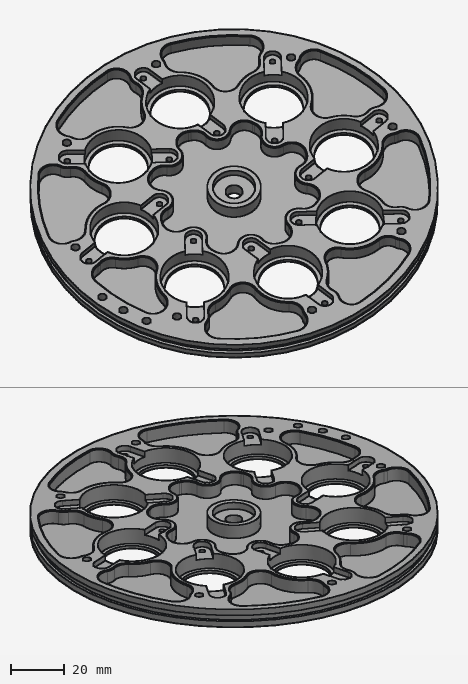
import cadquery as cq
import math

DISC_DIAMETER = 152.4
THICKNESS = 7.62
RIM_GROOVE_WIDTH = 2.54
RIM_GROOVE_DEPTH = 1.27

BORE_COUNT = 8
BORE_CIRCLE_RADIUS = 45.72
SEAT_DIAMETER = 25.55
SEAT_DEPTH = 6.35
BORE_DIAMETER = 22.225
SLOT_ANGLE = 20.0
SLOT_REACH = 19.05
SLOT_WIDTH = 6.5
SLOT_DEPTH = 2.286
SLOT_HOLE_DIAMETER = 2.2

RIM_HOLE_CIRCLE_RADIUS = 66.04
RIM_HOLE_DIAMETER = 3.175
INDEX_HOLE_CIRCLE_RADIUS = 72.39
INDEX_HOLE_ANGLES = (246.0, 254.0, 262.0)

POCKET_DEPTH = 5.588
POCKET_WALL = 1.905
POCKET_CORNER_RADIUS = 5.207
POCKET_CHAMFER = 0.381
POCKET_CHAMFER_ANGLE = 45.0
POCKET_OUTER_RADIUS = 73.025
SHORT_POCKET_OUTER_RADIUS = 68.58
SHORT_POCKET_INDEX = 5
NARROW_POCKET_INDEX = 7
NARROW_POCKET_INSET = 0.508

HUB_DIAMETER = 20.0
HUB_RECESS_DIAMETER = 15.875
HUB_RECESS_DEPTH = 2.794
HUB_BORE_DIAMETER = 6.35

PITCH_ANGLE = 360.0 / BORE_COUNT


def polar(radius, angle):
    """Point at a radius and an angle in degrees."""
    return (radius * math.cos(math.radians(angle)), radius * math.sin(math.radians(angle)))


def bore_center(index):
    return polar(BORE_CIRCLE_RADIUS, index * PITCH_ANGLE)


def slot_end(index, outward):
    """Centre of the round end of a bore's outer or inner slot."""
    x, y = bore_center(index)
    dx, dy = polar(SLOT_REACH if outward else -SLOT_REACH, index * PITCH_ANGLE + SLOT_ANGLE)
    return (x + dx, y + dy)


def rim_hole_center(index):
    return polar(RIM_HOLE_CIRCLE_RADIUS, index * PITCH_ANGLE)


def cylinders(points, diameter, depth):
    """Cylinders reaching down from the top face."""
    return (
        cq.Workplane("XY", origin=(0, 0, THICKNESS - depth))
        .pushPoints(points)
        .circle(diameter / 2)
        .extrude(depth)
    )


def wall_circle(center, feature_diameter):
    """Boundary circle one wall thickness outside a round feature."""
    return (*center, feature_diameter / 2 + POCKET_WALL)


def inset_circles(circles, inset):
    """Boundary circles moved into the pocket."""
    return [(x, y, radius + inset) for x, y, radius in circles]


def corner_center(first, second, corner_radius):
    """Centre of the corner arc tangent to two boundary circles."""
    x1, y1, radius1 = first
    x2, y2, radius2 = second
    reach1 = radius1 + corner_radius
    reach2 = radius2 + corner_radius
    distance = math.hypot(x2 - x1, y2 - y1)
    along = (reach1**2 - reach2**2 + distance**2) / (2 * distance)
    across = math.copysign(math.sqrt(reach1**2 - along**2), radius1 * radius2)
    ux = (x2 - x1) / distance
    uy = (y2 - y1) / distance
    return (x1 + along * ux - across * uy, y1 + along * uy + across * ux)


def tangent_point(corner, circle, corner_radius):
    """Point where a corner arc touches a boundary circle."""
    x, y, radius = circle
    share = corner_radius / (radius + corner_radius)
    return (corner[0] + share * (x - corner[0]), corner[1] + share * (y - corner[1]))


def arc_middle(center, start, end):
    """Middle of the shorter arc from start to end."""
    dx = start[0] + end[0] - 2 * center[0]
    dy = start[1] + end[1] - 2 * center[1]
    scale = math.dist(center, start) / math.hypot(dx, dy)
    return (center[0] + scale * dx, center[1] + scale * dy)


def pocket_tool(circles, corner_radius):
    """Pocket with round corners between its boundary circles and a chamfered mouth."""
    corners = [corner_center(a, b, corner_radius) for a, b in zip(circles, circles[1:] + circles[:1])]
    point = tangent_point(corners[-1], circles[0], corner_radius)
    outline = cq.Workplane("XY", origin=(0, 0, THICKNESS - POCKET_DEPTH)).moveTo(*point)
    for i, corner in enumerate(corners):
        leave = tangent_point(corner, circles[i], corner_radius)
        outline = outline.threePointArc(arc_middle(circles[i][:2], point, leave), leave)
        point = tangent_point(corner, circles[(i + 1) % len(circles)], corner_radius)
        outline = outline.threePointArc(arc_middle(corner, leave, point), point)
    pocket = outline.close().extrude(POCKET_DEPTH)
    floor_to_chamfer = cq.Vector(0, 0, POCKET_DEPTH - POCKET_CHAMFER)
    mouth_outline = pocket.faces("<Z").wires().val().translate(floor_to_chamfer)
    mouth = (
        cq.Workplane("XY", origin=(0, 0, THICKNESS - POCKET_CHAMFER))
        .add(mouth_outline)
        .toPending()
        .extrude(POCKET_CHAMFER, taper=-POCKET_CHAMFER_ANGLE)
    )
    return pocket.union(mouth)


def outer_pocket(index):
    """Pocket between bore `index` and the next one counter-clockwise."""
    following = index + 1
    short = index == SHORT_POCKET_INDEX
    outer_radius = SHORT_POCKET_OUTER_RADIUS if short else POCKET_OUTER_RADIUS
    circles = [(0.0, 0.0, -outer_radius)]
    if not short:
        circles.append(wall_circle(rim_hole_center(following), RIM_HOLE_DIAMETER))
    circles.append(wall_circle(bore_center(following), SEAT_DIAMETER))
    circles.append(wall_circle(bore_center(index), SEAT_DIAMETER))
    circles.append(wall_circle(slot_end(index, True), SLOT_WIDTH))
    inset = NARROW_POCKET_INSET if index == NARROW_POCKET_INDEX else 0.0
    return pocket_tool(inset_circles(circles, inset), POCKET_CORNER_RADIUS - inset)


def center_pocket():
    """Scalloped pocket that runs inside the bores and their inner slots, around the hub."""
    circles = []
    for i in range(BORE_COUNT):
        circles.append(wall_circle(slot_end(i, False), SLOT_WIDTH))
        circles.append(wall_circle(bore_center(i), SEAT_DIAMETER))
    return pocket_tool(circles, POCKET_CORNER_RADIUS).cut(cylinders([(0, 0)], HUB_DIAMETER, THICKNESS))


def slot_tool(index):
    """Slot reaching out of a bore on both sides."""
    return (
        cq.Workplane("XY", origin=(*bore_center(index), THICKNESS - SLOT_DEPTH))
        .transformed(rotate=(0, 0, index * PITCH_ANGLE + SLOT_ANGLE))
        .slot2D(2 * SLOT_REACH + SLOT_WIDTH, SLOT_WIDTH)
        .extrude(SLOT_DEPTH)
    )


def rim_groove():
    return (
        cq.Workplane("XY", origin=(0, 0, (THICKNESS - RIM_GROOVE_WIDTH) / 2))
        .circle(DISC_DIAMETER / 2)
        .circle(DISC_DIAMETER / 2 - RIM_GROOVE_DEPTH)
        .extrude(RIM_GROOVE_WIDTH)
    )


stations = range(BORE_COUNT)
bores = [bore_center(i) for i in stations]
slot_ends = [slot_end(i, outward) for i in stations for outward in (True, False)]
rim_holes = [rim_hole_center(i) for i in stations]
index_holes = [polar(INDEX_HOLE_CIRCLE_RADIUS, angle) for angle in INDEX_HOLE_ANGLES]

result = cq.Workplane("XY").circle(DISC_DIAMETER / 2).extrude(THICKNESS).cut(rim_groove())
result = result.cut(center_pocket())
for i in stations:
    result = result.cut(outer_pocket(i)).cut(slot_tool(i))
result = (
    result.cut(cylinders(bores, SEAT_DIAMETER, SEAT_DEPTH))
    .cut(cylinders(bores, BORE_DIAMETER, THICKNESS))
    .cut(cylinders(slot_ends, SLOT_HOLE_DIAMETER, THICKNESS))
    .cut(cylinders(rim_holes + index_holes, RIM_HOLE_DIAMETER, THICKNESS))
    .cut(cylinders([(0, 0)], HUB_RECESS_DIAMETER, HUB_RECESS_DEPTH))
    .cut(cylinders([(0, 0)], HUB_BORE_DIAMETER, THICKNESS))
)